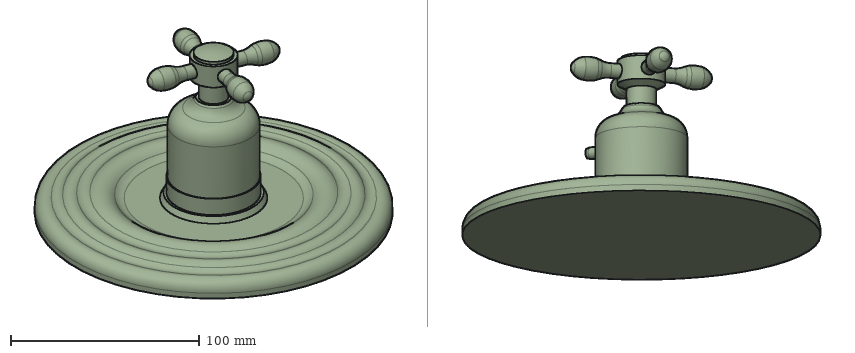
import cadquery as cq

plate_radius = 95.2
rim_height = 3.5
floor_radius = 47.6
floor_height = 8.8
bead_seams = [(86.5, 9.5), (80.4, 10.9), (73.0, 12.0), (66.0, 12.4), (52.8, 11.0)]

collar_bottom_radius = 28.5
collar_top_radius = 26.7
collar_top = 12.2

sleeve_radius = 25.1
sleeve_top = 22.0
body_radius = 24.5
shoulder_start = 53.3
shoulder_end_radius = 16.5
shoulder_end = 63.6
neck_radius = 10.5
neck_edge = 69.0
neck_top_radius = 9.5
neck_top = 70.1

pin_radius = 3.2
pin_height = 48.4
pin_tip = 32.0
pin_chamfer_length = 2.0
pin_chamfer_depth = 0.5

stem_radius = 8.0
stem_top = 80.0
hub_radius = 12.8
hub_bottom = 82.7
hub_top = 95.5
cap_radius = 10.7
cap_edge = 97.2
cap_top = 98.5

arm_count = 4
first_arm_angle = 45.0
arm_height = 89.0
arm_shank_radius = 4.0
arm_shank_end = 18.1
arm_flare_end = 23.8
arm_flare_radius = 5.3
arm_blend_end = 26.1
arm_blend_radius = 6.1
arm_crest = 29.5
arm_crest_radius = 6.5
arm_shoulder = 33.1
arm_shoulder_radius = 6.1
arm_tip_edge = 38.3
arm_tip_radius = 2.9
arm_tip = 39.5


def revolve_about_z(profile):
    """Close a profile drawn as (radius, height) and turn it about Z."""
    return profile.close().revolve(360, (0, 0, 0), (0, 1, 0))


def dome_radius(edge_radius, rise):
    """Radius of the sphere whose cap has this edge radius and rise."""
    return (edge_radius**2 + rise**2) / (2 * rise)


def make_plate():
    profile = cq.Workplane("XZ").lineTo(plate_radius, 0).lineTo(plate_radius, rim_height)
    for seam in bead_seams:
        profile = profile.tangentArcPoint(seam, relative=False)
    profile = profile.tangentArcPoint((floor_radius, floor_height), relative=False)
    return revolve_about_z(profile.lineTo(0, floor_height))


def make_collar():
    profile = (
        cq.Workplane("XZ")
        .lineTo(collar_bottom_radius, 0)
        .lineTo(collar_bottom_radius, floor_height)
        .lineTo(collar_top_radius, collar_top)
        .lineTo(0, collar_top)
    )
    return revolve_about_z(profile)


def make_body():
    profile = (
        cq.Workplane("XZ")
        .lineTo(sleeve_radius, 0)
        .lineTo(sleeve_radius, sleeve_top)
        .lineTo(body_radius, sleeve_top)
        .lineTo(body_radius, shoulder_start)
        .tangentArcPoint((shoulder_end_radius, shoulder_end), relative=False)
        .tangentArcPoint((neck_radius, neck_edge), relative=False)
        .lineTo(neck_top_radius, neck_top)
        .lineTo(0, neck_top)
    )
    return revolve_about_z(profile)


def make_pin():
    profile = (
        cq.Workplane("XY")
        .lineTo(pin_radius, 0)
        .lineTo(pin_radius, pin_tip - pin_chamfer_length)
        .lineTo(pin_radius - pin_chamfer_depth, pin_tip)
        .lineTo(0, pin_tip)
        .close()
    )
    return profile.revolve(360, (0, 0, 0), (0, 1, 0)).translate((0, 0, pin_height))


def make_hub():
    profile = (
        cq.Workplane("XZ")
        .lineTo(stem_radius, 0)
        .lineTo(stem_radius, stem_top)
        .lineTo(hub_radius, hub_bottom)
        .lineTo(hub_radius, hub_top)
        .lineTo(cap_radius, hub_top)
        .lineTo(cap_radius, cap_edge)
        .radiusArc((0, cap_top), -dome_radius(cap_radius, cap_top - cap_edge))
    )
    return revolve_about_z(profile)


def make_arm(angle):
    profile = (
        cq.Workplane("XY")
        .lineTo(0, arm_shank_radius)
        .lineTo(arm_shank_end, arm_shank_radius)
        .tangentArcPoint((arm_flare_end, arm_flare_radius), relative=False)
        .lineTo(arm_blend_end, arm_blend_radius)
        .threePointArc((arm_crest, arm_crest_radius), (arm_shoulder, arm_shoulder_radius))
        .tangentArcPoint((arm_tip_edge, arm_tip_radius), relative=False)
        .radiusArc((arm_tip, 0), dome_radius(arm_tip_radius, arm_tip - arm_tip_edge))
        .close()
    )
    arm = profile.revolve(360, (0, 0, 0), (1, 0, 0))
    return arm.rotate((0, 0, 0), (0, 0, 1), angle).translate((0, 0, arm_height))


result = make_plate().union(make_collar()).union(make_body()).union(make_pin()).union(make_hub())
for index in range(arm_count):
    result = result.union(make_arm(first_arm_angle + index * 360 / arm_count))